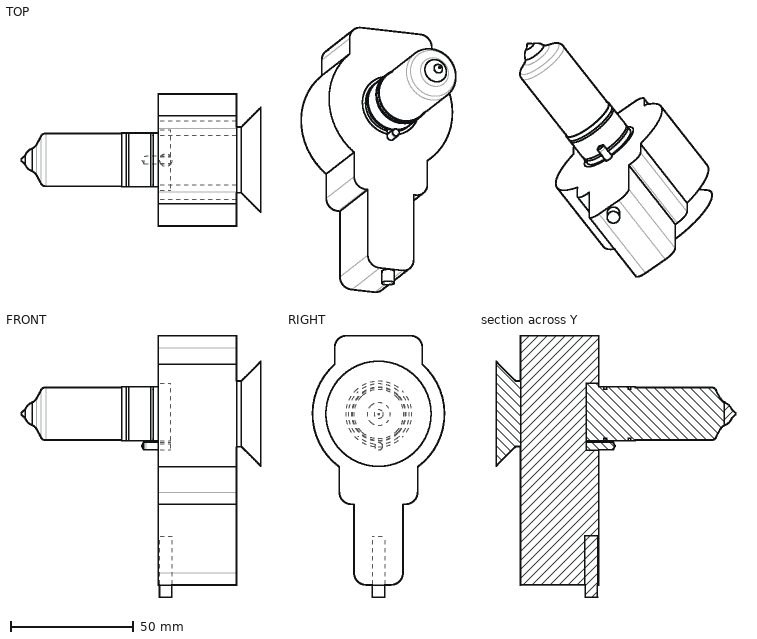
import cadquery as cq


housing_front = 56.0
housing_length = 32.1
housing_back = housing_front + housing_length
drum_radius = 54.0 / 2
head_width = 36.0
head_top = 32.0
shoulder_width = 32.1
shoulder_bottom = -37.0
leg_width = 20.1
leg_bottom = -70.0
corner_radius = 5.0

neck_front = 4.6
neck_back = 6.2
neck_front_radius = 4.7
neck_back_radius = 6.1
neck_hollow_radius = 4.2
cone_end = 8.1
cone_end_radius = 9.7
barrel_start = 10.1
barrel_radius = 10.8
sleeve_start = 41.1
sleeve_radius = 22.1 / 2
flange_radius = 12.4
flange_thickness = 5.0
flange_back = housing_front + flange_thickness

ring_width = 1.0
ring_depth = 1.0
ring_starts = [43.0, 53.0]

point_radius = 0.3
point_length = 1.6
point_base_radius = 1.8
tip_ball_radius = 4.8

pin_radius = 1.6
pin_z = -13.2
pin_start = 49.3
pin_cone_end = 50.1
pin_cone_radius = 1.5
pin_shank_start = 51.0
pin_round_radius = 4.4

rod_radius = 2.6
rod_x = 59.1
rod_top = -50.0
rod_bottom = -75.0

collar_radius = 13.5
collar_length = 1.9
funnel_end = 98.0
funnel_radius = 21.5


def cylinder_x(start, end, radius, z=0):
    """Solid cylinder along X."""
    return cq.Workplane("YZ", origin=(start, 0, z)).circle(radius).extrude(end - start)


def revolve_x(half_profile):
    """Solid of revolution about the X axis, from a closed profile in XY."""
    return half_profile.revolve(360, (0, 0, 0), (1, 0, 0))


def housing_block(width, bottom, top):
    """Block of the housing's length, centred on Y."""
    return (
        cq.Workplane("XY")
        .box(housing_length, width, top - bottom, centered=(False, True, False))
        .translate((housing_front, 0, bottom))
    )


def make_rod():
    return cq.Workplane("XY", origin=(rod_x, 0, rod_bottom)).circle(rod_radius).extrude(rod_top - rod_bottom)


def make_pin():
    profile = (
        cq.Workplane("XY")
        .moveTo(pin_start, 0)
        .lineTo(pin_cone_end, pin_cone_radius)
        .radiusArc((pin_shank_start, pin_radius), pin_round_radius)
        .lineTo(flange_back, pin_radius)
        .lineTo(flange_back, 0)
        .close()
    )
    return revolve_x(profile).translate((0, 0, pin_z))


def make_housing():
    drum = cylinder_x(housing_front, housing_back, drum_radius)
    head = housing_block(head_width, 0, head_top).edges("|X and >Z").fillet(corner_radius)
    shoulder = housing_block(shoulder_width, shoulder_bottom, 0).edges("|X and <Z").fillet(corner_radius)
    leg = housing_block(leg_width, leg_bottom, 0).edges("|X and <Z").fillet(corner_radius)
    flange_recess = cylinder_x(housing_front, flange_back, flange_radius)
    pin_hole = cylinder_x(housing_front, flange_back, pin_radius, pin_z)
    body = drum.union(head).union(shoulder).union(leg)
    return body.cut(flange_recess).cut(pin_hole).cut(make_rod())


def make_ring(start):
    ring = cylinder_x(start, start + ring_width, sleeve_radius)
    return ring.cut(cylinder_x(start, start + ring_width, sleeve_radius - ring_depth))


def pin_slot():
    """Slot through the flange, as wide as the pin, from the sleeve out past the rim."""
    slot = (
        cq.Workplane("XY")
        .box(flange_thickness, 2 * pin_radius, -pin_z, centered=(False, True, False))
        .translate((housing_front, 0, pin_z))
    )
    return slot.cut(cylinder_x(housing_front, flange_back, sleeve_radius))


def make_nozzle():
    profile = (
        cq.Workplane("XY")
        .moveTo(neck_front, 0)
        .lineTo(neck_front, neck_front_radius)
        .radiusArc((neck_back, neck_back_radius), -neck_hollow_radius)
        .lineTo(cone_end, cone_end_radius)
        .tangentArcPoint((barrel_start, barrel_radius), relative=False)
        .lineTo(sleeve_start, barrel_radius)
        .lineTo(sleeve_start, sleeve_radius)
        .lineTo(housing_front, sleeve_radius)
        .lineTo(housing_front, flange_radius)
        .lineTo(flange_back, flange_radius)
        .lineTo(flange_back, 0)
        .close()
    )
    body = revolve_x(profile).cut(pin_slot())
    for start in ring_starts:
        body = body.cut(make_ring(start))
    return body


def make_tip():
    profile = (
        cq.Workplane("XY")
        .lineTo(0, point_radius)
        .lineTo(point_length, point_base_radius)
        .radiusArc((neck_front, neck_front_radius), tip_ball_radius)
        .lineTo(neck_front, 0)
        .close()
    )
    return revolve_x(profile)


def make_funnel():
    collar_end = housing_back + collar_length
    profile = (
        cq.Workplane("XY")
        .moveTo(housing_back, 0)
        .lineTo(housing_back, collar_radius)
        .lineTo(collar_end, collar_radius)
        .lineTo(funnel_end, funnel_radius)
        .lineTo(funnel_end, 0)
        .close()
    )
    return revolve_x(profile)


housing = make_housing()
nozzle = make_nozzle()
tip = make_tip()
rings = [make_ring(start) for start in ring_starts]
pin = make_pin()
rod = make_rod()
funnel = make_funnel()

result = cq.Compound.makeCompound(
    [
        housing.val(),
        nozzle.val(),
        tip.val(),
        *[ring.val() for ring in rings],
        pin.val(),
        rod.val(),
        funnel.val(),
    ]
)